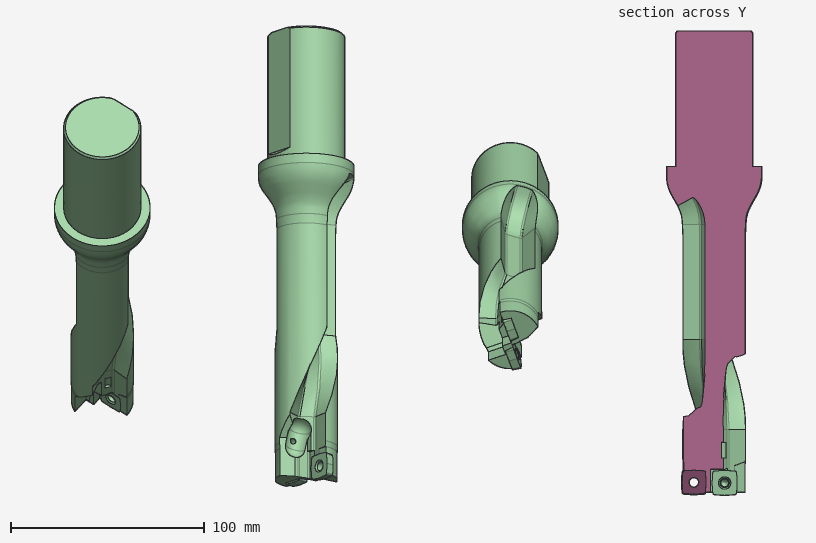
import cadquery as cq
import math


total_height = 239.99
body_bottom_z = 1.6
shank_radius = 39.99 / 2
shank_length = 70.0
shank_chamfer = 1.0
flange_radius = 49.5 / 2
flange_thickness = 5.0
drill_radius = 16.25
neck_radius = 16.5
head_radius = 16.0
head_top_z = 19.0
head_taper_length = 3.0
neck_taper_length = 5.0
shoulder_height = 25.0

flange_top_z = total_height - shank_length
flange_bottom_z = flange_top_z - flange_thickness
neck_z = flange_bottom_z - shoulder_height

flat_y = 18.0
flat_end_z = flange_top_z + 3.2

flute_floor = 5.5
flute_floor_width = 8.6
flute_wall_angle = 32.0
flute_corner_radius = 1.3
flute_reach = 20.0
runout_radius = 24.0
flute_top_angle = 217.0
helix_twist = 73.0
helix_bottom_z = 34.0
helix_top_z = 80.5
flute_bottom_angle = flute_top_angle - helix_twist

insert_width = 13.0
edge_bulge = 0.4
insert_corner_radius = 1.2
insert_thickness = 4.5
insert_relief = 7.0
insert_hole_diameter = 4.8
insert_sink_diameter = 6.4
screw_hole_diameter = 4.0
screw_hole_depth = 3.0
screw_point_angle = 90.0
center_insert_x = 5.4
center_insert_z = insert_width / 2
outer_insert_x = -10.5
outer_insert_z = center_insert_z + 0.3

front_gap_x = -6.8
front_gap_y = -5.0
front_gap_side_z = 14.0
front_gap_low = (-5.5, 17.0)
front_gap_high = (8.0, 29.5)
center_clearance_x = -1.8
center_clearance_low_z = 13.5
center_clearance_high_z = 17.6
outer_gap_inner = (-3.0, 1.5)
outer_gap_middle = (-1.8, 9.0)
outer_gap_outer = (3.0, 18.0)
outer_clearance_z = 16.0
outer_gap_straight_z = 22.0
outer_gap_top_z = 36.0
outer_gap_lean = 9.0
scoop_radius = 6.0
scoop_top = cq.Vector(-3.5, 6.8, 27.0)
scoop_bottom = cq.Vector(-3.5, 9.0, 17.5)
coolant_diameter = 3.0
coolant_depth = 8.0
outer_coolant = (6.9, 21.7)
center_coolant = (5.2, -2.0)
center_coolant_bottom_z = 19.5

clear = 2 * flange_radius


def turned_blank():
    """Shank, flange, ogee shoulder and drill shaft as one turned solid."""
    return (
        cq.Workplane("XZ")
        .moveTo(0, total_height)
        .lineTo(shank_radius - shank_chamfer, total_height)
        .lineTo(shank_radius, total_height - shank_chamfer)
        .lineTo(shank_radius, flange_top_z)
        .lineTo(flange_radius, flange_top_z)
        .lineTo(flange_radius, flange_bottom_z)
        .spline([(neck_radius, neck_z)], tangents=[(0, -1), (0, -1)], includeCurrent=True)
        .lineTo(drill_radius, neck_z - neck_taper_length)
        .lineTo(drill_radius, head_top_z)
        .lineTo(head_radius, head_top_z - head_taper_length)
        .lineTo(head_radius, body_bottom_z)
        .lineTo(0, body_bottom_z)
        .close()
        .revolve(360, (0, 0, 0), (0, 1, 0))
    )


def shank_flat():
    """Cutter for the flat, with a 45 degree end above the flange."""
    return (
        cq.Workplane("YZ")
        .moveTo(flat_y, total_height)
        .lineTo(flat_y, flat_end_z + shank_radius - flat_y)
        .lineTo(shank_radius, flat_end_z)
        .lineTo(clear, flat_end_z)
        .lineTo(clear, total_height)
        .close()
        .extrude(shank_radius, both=True)
    )


def flute_profile():
    """Trapezoid that opens outward along +X, with rounded floor corners."""
    floor_half = flute_floor_width / 2
    mouth_half = floor_half + (flute_reach - flute_floor) * math.tan(math.radians(flute_wall_angle))
    outline = [
        (flute_floor, -floor_half),
        (flute_reach, -mouth_half),
        (flute_reach, mouth_half),
        (flute_floor, floor_half),
        (flute_floor, -floor_half),
    ]
    return cq.Sketch().polygon(outline).vertices("<X").fillet(flute_corner_radius)


def profile_at(z):
    return cq.Workplane("XY").workplane(offset=z).placeSketch(flute_profile())


def cut_flute(body, turn):
    """Straight tip, helix, straight shaft and curved runout of one flute."""
    tip = profile_at(0).extrude(helix_bottom_z)
    helix = profile_at(helix_bottom_z).twistExtrude(helix_top_z - helix_bottom_z, helix_twist)
    shaft = profile_at(helix_top_z).extrude(neck_z - helix_top_z)
    runout_center = flute_floor + runout_radius
    runout = profile_at(neck_z).revolve(90, (runout_center, 0, 0), (runout_center, 1, 0))
    pieces = [
        (tip, flute_bottom_angle),
        (helix, flute_bottom_angle),
        (shaft, flute_top_angle),
        (runout, flute_top_angle),
    ]
    for piece, angle in pieces:
        body = body.cut(piece.rotate((0, 0, 0), (0, 0, 1), angle + turn))
    return body


def insert_blank():
    """Insert without its hole: cutting face on Y = 0 looking to -Y, centre on the Y axis."""
    middle = insert_width / 2
    corner = middle - edge_bulge
    outline = []
    for quarter in range(4):
        turn = math.radians(90 * quarter)
        for along, across in [(middle, 0), (corner, corner)]:
            outline.append((
                along * math.cos(turn) - across * math.sin(turn),
                along * math.sin(turn) + across * math.cos(turn),
            ))
    outline.append(outline[0])
    sketch = cq.Sketch().polygon(outline)
    sketch = sketch.vertices(">(1,1,0) or <(1,1,0) or >(1,-1,0) or <(1,-1,0)").fillet(insert_corner_radius)
    return cq.Workplane("XZ").placeSketch(sketch).extrude(-insert_thickness, taper=insert_relief)


def insert_hole():
    """Screw hole with a countersink on the cutting face."""
    sink_depth = (insert_sink_diameter - insert_hole_diameter) / 2
    return (
        cq.Workplane("XY")
        .lineTo(insert_sink_diameter / 2, 0)
        .lineTo(insert_hole_diameter / 2, sink_depth)
        .lineTo(insert_hole_diameter / 2, insert_thickness)
        .lineTo(0, insert_thickness)
        .close()
        .revolve(360, (0, 0, 0), (0, 1, 0))
    )


def screw_hole():
    """Hole in the body behind an insert, with a cone at its end."""
    radius = screw_hole_diameter / 2
    straight_end = insert_thickness + screw_hole_depth
    cone_length = radius / math.tan(math.radians(screw_point_angle / 2))
    return (
        cq.Workplane("XY")
        .lineTo(radius, 0)
        .lineTo(radius, straight_end)
        .lineTo(0, straight_end + cone_length)
        .close()
        .revolve(360, (0, 0, 0), (0, 1, 0))
    )


def seat_center(shape):
    return shape.translate((center_insert_x, 0, center_insert_z))


def seat_outer(shape):
    turned = shape.rotate((0, 0, 0), (0, 0, 1), 180)
    return turned.translate((outer_insert_x, 0, outer_insert_z))


def front_gap():
    """Chip space before the centre insert, with a sloping roof."""
    return (
        cq.Workplane("XZ", origin=(0, front_gap_y, 0))
        .moveTo(front_gap_x, 0)
        .lineTo(front_gap_x, front_gap_side_z)
        .lineTo(*front_gap_low)
        .lineTo(*front_gap_high)
        .lineTo(clear, front_gap_high[1])
        .lineTo(clear, 0)
        .close()
        .extrude(clear)
    )


def center_clearance():
    """Opens the core in front of the centre insert face."""
    return (
        cq.Workplane("XZ")
        .moveTo(center_clearance_x, 0)
        .lineTo(center_clearance_x, center_clearance_low_z)
        .lineTo(center_insert_x, center_clearance_low_z)
        .lineTo(drill_radius, center_clearance_high_z)
        .lineTo(clear, center_clearance_high_z)
        .lineTo(clear, 0)
        .close()
        .extrude(clear)
    )


def outer_gap():
    """Chip space before the outer insert: an upright wall that leans outward at the top."""

    def section(shift):
        wall = [outer_gap_inner, outer_gap_middle, outer_gap_outer]
        outline = [(x - shift, y) for x, y in wall]
        outline += [(-clear, outer_gap_outer[1]), (-clear, outer_gap_inner[1])]
        return cq.Sketch().polygon([*outline, outline[0]])

    lower = cq.Workplane("XY").placeSketch(section(0)).extrude(outer_gap_straight_z)
    upper_height = outer_gap_top_z - outer_gap_straight_z
    leaning = section(outer_gap_lean).moved(cq.Location(cq.Vector(0, 0, upper_height)))
    upper_plane = cq.Workplane("XY", origin=(0, 0, outer_gap_straight_z))
    upper = upper_plane.placeSketch(section(0), leaning).loft(ruled=True)
    clearance = (
        cq.Workplane("XY")
        .box(clear, outer_gap_inner[1], outer_clearance_z, centered=False)
        .translate((outer_gap_inner[0] - clear, 0, 0))
    )
    return lower.union(upper).union(clearance)


def scoop():
    """Round-ended hollow above the outer insert."""
    path = scoop_bottom - scoop_top
    barrel = cq.Workplane(cq.Solid.makeCylinder(scoop_radius, path.Length, scoop_top, path))
    for end in (scoop_top, scoop_bottom):
        barrel = barrel.union(cq.Workplane("XY").sphere(scoop_radius).translate(end))
    return barrel


def coolant_outlets():
    """Outlet in the scoop, along X, and outlet beside the centre insert, along Z."""
    outer = cq.Workplane("YZ").center(*outer_coolant).circle(coolant_diameter / 2)
    center = (
        cq.Workplane("XY", origin=(*center_coolant, center_coolant_bottom_z)).circle(coolant_diameter / 2)
    )
    return [outer.extrude(coolant_depth), center.extrude(coolant_depth)]


drill_body = turned_blank().cut(shank_flat())
for flute_turn in (0, 180):
    drill_body = cut_flute(drill_body, flute_turn)
for cutter in [front_gap(), center_clearance(), outer_gap(), scoop()]:
    drill_body = drill_body.cut(cutter)
for outlet in coolant_outlets():
    drill_body = drill_body.cut(outlet)
for seat in (seat_center, seat_outer):
    drill_body = drill_body.cut(seat(insert_blank())).cut(seat(screw_hole()))

drilled_insert = insert_blank().cut(insert_hole())
center_insert = seat_center(drilled_insert)
outer_insert = seat_outer(drilled_insert)

result = cq.Compound.makeCompound([drill_body.val(), center_insert.val(), outer_insert.val()])